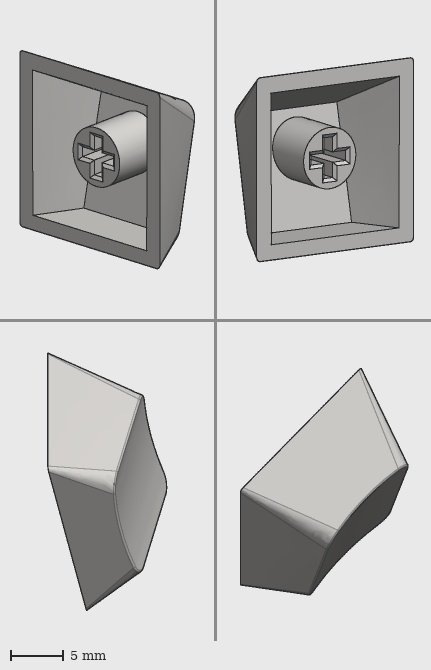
import cadquery as cq
import math

RIM_SIZE = 18.0
RIM_CORNER_RADIUS = 0.41

BLANK_WIDTH = 11.88
BLANK_CORNER_RADIUS = 1.71
BLANK_HIGH_Y = 8.91
BLANK_HIGH_Z = 4.63
BLANK_LOW_Y = 6.05
BLANK_LOW_Z = -RIM_SIZE / 2
TOP_EDGE_FILLET = 0.22

DISH_RADIUS = 31.5
DISH_DEPTH = 0.72
DISH_LENGTH = 36.0

OPENING_HIGH_HALF_WIDTH = 7.38
OPENING_LOW_HALF_WIDTH = 7.3
OPENING_HIGH_Z = 7.35
CAVITY_LOW_Z = -7.49
FLOOR_HIGH_HALF_WIDTH = 4.88
FLOOR_LOW_HALF_WIDTH = 5.0
FLOOR_HIGH_Y = 7.11
FLOOR_HIGH_Z = 3.89
FLOOR_LOW_Y = 4.73

STEM_DIAMETER = 6.0
STEM_FRONT_Y = 0.95
CROSS_LENGTH = 4.0
CROSS_WIDTH = 1.0
CROSS_CHAMFER = 0.35
CROSS_CHAMFER_DEPTH = 0.25


def rounded_section(width, height, radius, center_y, center_z, tilt):
    """Rounded rectangular wire facing +Y, with its low end tilted towards the rim."""
    normal = (0, math.cos(tilt), -math.sin(tilt))
    plane = cq.Plane(origin=(0, center_y, center_z), xDir=(1, 0, 0), normal=normal)
    outline = cq.Sketch().rect(width, height).vertices().fillet(radius)
    return outline.moved(plane.location).reset().faces().val().outerWire()


def make_body():
    """Lofted shell blank with the finger dish cut and its edge rounded."""
    rise = BLANK_HIGH_Y - BLANK_LOW_Y
    run = BLANK_HIGH_Z - BLANK_LOW_Z
    tilt = math.atan2(rise, run)
    middle_y = (BLANK_HIGH_Y + BLANK_LOW_Y) / 2
    middle_z = (BLANK_HIGH_Z + BLANK_LOW_Z) / 2
    rim = rounded_section(RIM_SIZE, RIM_SIZE, RIM_CORNER_RADIUS, 0, 0, 0)
    top = rounded_section(
        BLANK_WIDTH, math.hypot(rise, run), BLANK_CORNER_RADIUS, middle_y, middle_z, tilt
    )
    blank = cq.Workplane(cq.Solid.makeLoft([rim, top], True))

    axis = cq.Vector(0, math.sin(tilt), math.cos(tilt))
    outward = cq.Vector(0, math.cos(tilt), -math.sin(tilt))
    axis_middle = cq.Vector(0, middle_y, middle_z) + outward * (DISH_RADIUS - DISH_DEPTH)
    start = axis_middle - axis * (DISH_LENGTH / 2)
    dish = cq.Solid.makeCylinder(DISH_RADIUS, DISH_LENGTH, start, axis)
    return blank.cut(cq.Workplane(dish)).faces(">Y").edges().fillet(TOP_EDGE_FILLET)


def make_cavity():
    """Six-sided hollow, lofted from the rim opening to the tilted floor."""
    opening = cq.Wire.makePolygon([
        cq.Vector(-OPENING_LOW_HALF_WIDTH, 0, CAVITY_LOW_Z),
        cq.Vector(OPENING_LOW_HALF_WIDTH, 0, CAVITY_LOW_Z),
        cq.Vector(OPENING_HIGH_HALF_WIDTH, 0, OPENING_HIGH_Z),
        cq.Vector(-OPENING_HIGH_HALF_WIDTH, 0, OPENING_HIGH_Z),
    ], close=True)
    floor = cq.Wire.makePolygon([
        cq.Vector(-FLOOR_LOW_HALF_WIDTH, FLOOR_LOW_Y, CAVITY_LOW_Z),
        cq.Vector(FLOOR_LOW_HALF_WIDTH, FLOOR_LOW_Y, CAVITY_LOW_Z),
        cq.Vector(FLOOR_HIGH_HALF_WIDTH, FLOOR_HIGH_Y, FLOOR_HIGH_Z),
        cq.Vector(-FLOOR_HIGH_HALF_WIDTH, FLOOR_HIGH_Y, FLOOR_HIGH_Z),
    ], close=True)
    return cq.Workplane(cq.Solid.makeLoft([opening, floor], True))


def cross_outline(length, width):
    """Plus-shaped sketch."""
    return cq.Sketch().rect(length, width).rect(width, length).clean()


def make_stem():
    """Round stem with a chamfered cross socket right through it."""
    depth = FLOOR_HIGH_Y - STEM_FRONT_Y
    front = cq.Workplane("XZ", origin=(0, STEM_FRONT_Y, 0))
    stem = front.circle(STEM_DIAMETER / 2).extrude(-depth)
    socket = front.placeSketch(cross_outline(CROSS_LENGTH, CROSS_WIDTH)).extrude(-depth)
    mouth_growth = 2 * CROSS_CHAMFER
    mouth = front.placeSketch(
        cross_outline(CROSS_LENGTH + mouth_growth, CROSS_WIDTH + mouth_growth),
        cross_outline(CROSS_LENGTH, CROSS_WIDTH).moved(cq.Location((0, 0, -CROSS_CHAMFER_DEPTH))),
    ).loft(ruled=True)
    return stem.cut(socket).cut(mouth)


cavity = make_cavity()
result = make_body().cut(cavity).union(make_stem().intersect(cavity))